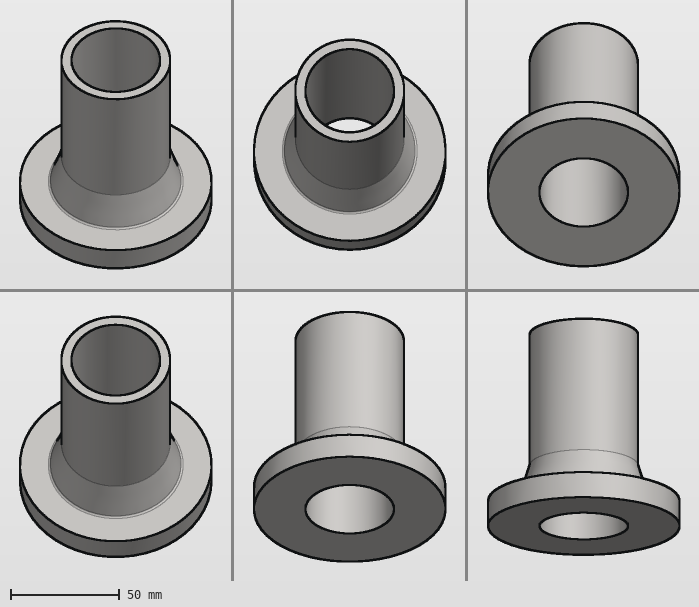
import cadquery as cq

total_height = 92.0
flange_diameter = 88.0
flange_thickness = 12.05
tube_outer_diameter = 50.05
bore_diameter = 40.7
hub_diameter = 60.4
hub_top_height = 28.9
root_fillet_radius = 1.0

flange_radius = flange_diameter / 2
tube_radius = tube_outer_diameter / 2
hub_radius = hub_diameter / 2
bore_radius = bore_diameter / 2

body = (
    cq.Workplane("XZ")
    .polyline([
        (0, 0),
        (flange_radius, 0),
        (flange_radius, flange_thickness),
        (hub_radius, flange_thickness),
        (tube_radius, hub_top_height),
        (tube_radius, total_height),
        (0, total_height),
    ])
    .close()
    .revolve(360, (0, 0, 0), (0, 1, 0))
)

hub_root = cq.selectors.RadiusNthSelector(1)
body = body.edges("%CIRCLE").edges(hub_root).fillet(root_fillet_radius)

bore = cq.Workplane("XY").circle(bore_radius).extrude(total_height)
result = body.cut(bore)